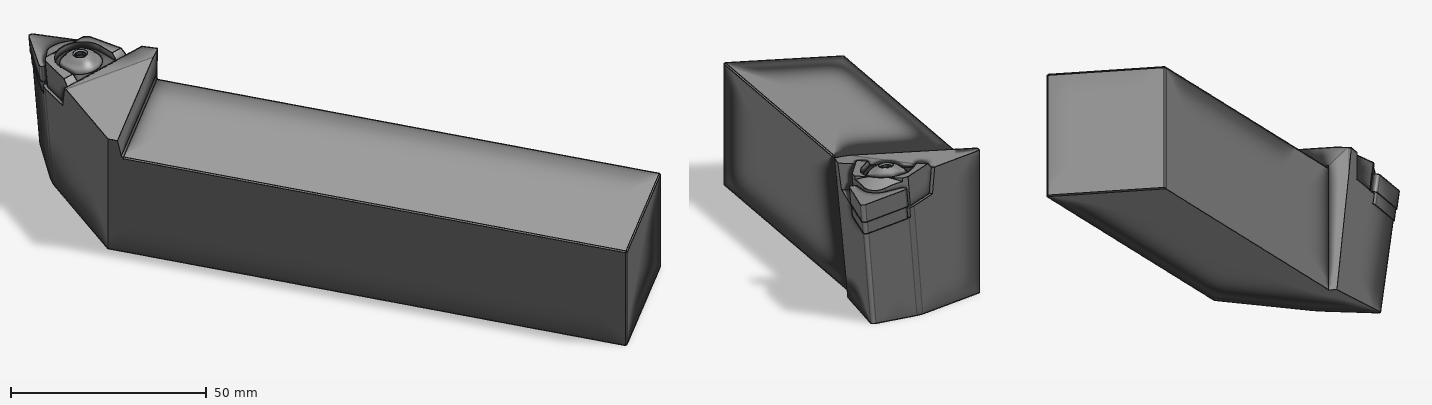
import cadquery as cq
import math

overall_length = 169.5
overall_width = 39.5
shank_size = 31.9
shank_chamfer = 0.3

head_height = 37.3
head_front_x = 31.9
head_back_x = 34.4
head_back_run = 1.0
head_root_chamfer = 0.5
head_corner_y = 37.0

seat_tilt = 6
bisector_angle = 33
nose_height = 32.2
nose_radius = 0.8
insert_side = 16.6
insert_thickness = 4.7
shim_thickness = 3.2
shim_inset = 0.2
corner_facet_start = 13.9
corner_facet_angle = 23
holder_recess = 0.3

seat_level = -insert_thickness - shim_thickness
pedestal_level = -5.5
ridge_level = 1.0

wall_bottom = 25.0
wall_top = 27.1
wall_slope = (wall_top - wall_bottom) / (ridge_level - pedestal_level)

clamp_front = 14.5
clamp_front_width = 14.5
clamp_flare = 12
clamp_top = 2.5
clamp_back_chamfer = 2.0
clamp_chamfer_depth = 1.5
lip_apex = 8.0
lip_half_angle = 44
lip_nose_radius = 4.0
lip_cone_top = 6.8
lip_cone_radius = 11.0
lip_cone_level = 0.7
spotface_radius = 6.6
spotface_level = 0.7

screw_position = 20.8
screw_head_diameter = 11.0
screw_top = 3.7
socket_size = 2.5
socket_depth = 1.7
socket_chamfer = 0.7

far = 101.7

tilt = math.tan(math.radians(seat_tilt))
seat_normal = cq.Vector(-tilt, tilt, 1)
bisector_x = math.cos(math.radians(bisector_angle))
bisector_y = -math.sin(math.radians(bisector_angle))
bisector = cq.Vector(bisector_x, bisector_y, tilt * (bisector_x - bisector_y)).normalized()
nose_center = cq.Vector(nose_radius, overall_width - nose_radius, nose_height)
corner = nose_center - bisector * (2 * nose_radius)
seat = cq.Plane(origin=corner, xDir=bisector, normal=seat_normal)


def in_seat(shape):
    """Move a shape modelled in the seat frame to its place on the tool."""
    return cq.Workplane(shape.val().moved(seat.location))


def at_level(level):
    return cq.Workplane("XY").workplane(offset=level)


def triangle(inset, side):
    """Corner points of an equilateral outline, its front two edges offset inwards by the inset."""
    tip = 2 * inset
    back = tip + side * math.sqrt(3) / 2
    return [(tip, 0), (back, -side / 2), (back, side / 2)]


def triangle_plate(inset, bottom, thickness):
    """Plate with rounded corners, offset inwards on all three edges."""
    corners = triangle(inset, insert_side - 2 * math.sqrt(3) * inset)
    plate = at_level(bottom).polyline(corners).close().extrude(thickness)
    return plate.edges("|Z").fillet(nose_radius)


def make_insert():
    return in_seat(triangle_plate(0, -insert_thickness, insert_thickness))


def make_shank():
    """Square shank with small chamfers along its top and around its free end."""
    shank = cq.Workplane("XY").box(
        overall_length - head_front_x, shank_size, shank_size, centered=False
    )
    shank = shank.translate((head_front_x, 0, 0))
    shank = shank.faces(">Z").edges("|X").chamfer(shank_chamfer)
    return shank.faces(">X").edges().chamfer(shank_chamfer)


def head_envelope():
    """Upright outline of the head, with its sloping rear face."""
    base_x = head_back_x + head_back_run
    plan = [
        (head_front_x, 0),
        (head_front_x - far, far),
        (head_back_x, far),
        (head_back_x, head_corner_y),
        (base_x, shank_size),
        (base_x + head_root_chamfer, shank_size),
        (base_x + head_root_chamfer, 0),
    ]
    upright = cq.Workplane("XY").polyline(plan).close().extrude(head_height)
    profile = [
        (-far, 0),
        (base_x + head_root_chamfer, 0),
        (base_x + head_root_chamfer, shank_size),
        (base_x, shank_size + head_root_chamfer),
        (head_back_x, head_height),
        (-far, head_height),
    ]
    side = cq.Workplane("XZ").polyline(profile).close().extrude(-2 * far)
    return upright.intersect(side)


def head_flanks():
    """Block whose flanks run along the seat normal, behind the insert edges."""
    tip, right_end, left_end = triangle(holder_recess, far)
    facet_y = -(corner_facet_start - tip[0]) / math.sqrt(3)
    facet_run = right_end[0] - corner_facet_start
    facet_end_y = facet_y - facet_run * math.tan(math.radians(corner_facet_angle))
    plan = [tip, (corner_facet_start, facet_y), (right_end[0], facet_end_y), left_end]
    block = at_level(-far).polyline(plan).close().extrude(far + ridge_level)
    return in_seat(block.edges("|Z and <X").fillet(nose_radius))


def clamp_recess():
    """Space above the pedestal, closed at the rear by the sloping wall."""
    profile = [
        (-far, pedestal_level),
        (wall_bottom, pedestal_level),
        (wall_bottom + wall_slope * (far - pedestal_level), far),
        (-far, far),
    ]
    return in_seat(cq.Workplane("XZ").polyline(profile).close().extrude(far, both=True))


def insert_recess():
    """Step below the pedestal where the shim and the insert sit."""
    depth = pedestal_level - seat_level
    back = insert_side * math.sqrt(3) / 2
    block = at_level(seat_level).rect(2 * back, 2 * far).extrude(depth)
    return in_seat(block)


def clamp_nose(bottom):
    """Upright block with the rounded V outline of the clamp nose."""
    half = far * math.tan(math.radians(lip_half_angle))
    plan = [(lip_apex, 0), (lip_apex + far, -half), (lip_apex + far, half)]
    block = at_level(bottom).polyline(plan).close().extrude(clamp_top - bottom)
    return block.edges("|Z and <X").fillet(lip_nose_radius)


def make_lip():
    """Lip that reaches over the insert, its top falling away in a cone around the screw."""
    reach = at_level(0).rect(2 * clamp_front, far).extrude(clamp_top)
    profile = [
        (0, 0),
        (lip_cone_radius, 0),
        (lip_cone_radius, lip_cone_level),
        (lip_cone_top, clamp_top),
        (0, clamp_top),
    ]
    cone = cq.Workplane("XZ").polyline(profile).close().revolve(360, (0, 0, 0), (0, 1, 0))
    cone = cone.translate((screw_position, 0, 0))
    return clamp_nose(0).intersect(reach).intersect(cone)


def make_clamp():
    """Wedge clamp with a rounded lip that presses on the insert."""
    back_top = wall_bottom + wall_slope * (clamp_top - pedestal_level)
    profile = [
        (clamp_front, pedestal_level),
        (wall_bottom, pedestal_level),
        (back_top - wall_slope * clamp_chamfer_depth, clamp_top - clamp_chamfer_depth),
        (back_top - clamp_back_chamfer, clamp_top),
        (clamp_front, clamp_top),
    ]
    wedge = cq.Workplane("XZ").polyline(profile).close().extrude(far, both=True)
    front_half = clamp_front_width / 2
    back_half = front_half + (back_top - clamp_front) * math.tan(math.radians(clamp_flare))
    plan = [
        (clamp_front, -front_half),
        (back_top, -back_half),
        (back_top, back_half),
        (clamp_front, front_half),
    ]
    wedge = wedge.intersect(at_level(pedestal_level).polyline(plan).close().extrude(far))
    clamp = wedge.intersect(clamp_nose(pedestal_level)).union(make_lip())
    spotface = at_level(spotface_level).center(screw_position, 0).circle(spotface_radius).extrude(far)
    slot = at_level(spotface_level).center(screw_position + far / 2, 0)
    slot = slot.rect(far, 2 * spotface_radius).extrude(far)
    return in_seat(clamp.cut(spotface).cut(slot))


def make_screw():
    """Domed screw head with a chamfered hexagon socket."""
    radius = screw_head_diameter / 2
    rise = screw_top - spotface_level
    dome_radius = (radius**2 + rise**2) / (2 * rise)
    middle = radius / 2
    middle_level = screw_top - dome_radius + math.sqrt(dome_radius**2 - middle**2)
    profile = (
        cq.Workplane("XZ")
        .moveTo(0, pedestal_level)
        .lineTo(radius, pedestal_level)
        .lineTo(radius, spotface_level)
        .threePointArc((middle, middle_level), (0, screw_top))
        .close()
    )
    screw = profile.revolve(360, (0, 0, 0), (0, 1, 0))
    corner_diameter = socket_size / math.cos(math.pi / 6)
    socket = at_level(screw_top - socket_depth).polygon(6, corner_diameter).extrude(far)
    socket_radius = corner_diameter / 2
    mouth = at_level(screw_top - socket_chamfer).circle(socket_radius)
    mouth = mouth.workplane(offset=socket_chamfer).circle(socket_radius + socket_chamfer).loft()
    screw = screw.cut(socket).cut(mouth)
    return in_seat(screw.translate((screw_position, 0, 0)))


def make_holder():
    """Shank and head in one piece with the shim, the wedge clamp and its screw."""
    head = head_envelope().intersect(head_flanks()).cut(clamp_recess()).cut(insert_recess())
    shim = in_seat(triangle_plate(shim_inset, seat_level, shim_thickness))
    return make_shank().union(head).union(shim).union(make_clamp()).union(make_screw())


holder = make_holder()
insert = make_insert()

result = cq.Compound.makeCompound([holder.solids().val(), insert.solids().val()])